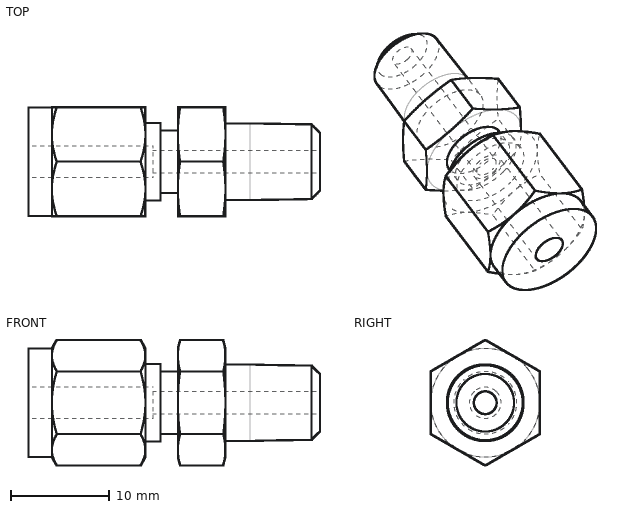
import cadquery as cq
import math


across_flats = 11.11
across_corners = across_flats / math.cos(math.pi / 6)
nut_chamfer_angle = 30
body_chamfer_angle = 15

overall_length = 29.71
collar_end = 2.38
nut_end = 11.92
shoulder_end = 13.47
neck_end = 15.22
body_end = 20.07
shank_end = 22.57

collar_diameter = 11.1
hex_face_diameter = collar_diameter
shoulder_diameter = 7.92
neck_diameter = 6.4
shank_diameter = 7.84
taper_end_diameter = 7.64
tip_chamfer = 0.88

bore_diameter = 2.3
tube_socket_diameter = 3.2
tube_socket_depth = 12.7


def cylinder_x(start, end, diameter):
    """Solid cylinder on the X axis between two stations."""
    return cq.Workplane("YZ", origin=(start, 0, 0)).circle(diameter / 2).extrude(end - start)


def revolve_x(profile):
    """Solid of revolution about X from (x, radius) points."""
    x_axis_end = (1, 0)
    return cq.Workplane("XY").polyline(profile).close().revolve(360, (0, 0), x_axis_end)


def chamfered_hex(start, end, chamfer_angle):
    """Hexagonal prism with conically chamfered corners at both ends."""
    prism = (
        cq.Workplane("YZ", origin=(start, 0, 0))
        .polygon(6, across_corners)
        .extrude(end - start)
        .rotate((0, 0, 0), (1, 0, 0), 90)
    )
    face_radius = hex_face_diameter / 2
    corner_radius = across_corners / 2
    chamfer_length = (corner_radius - face_radius) * math.tan(math.radians(chamfer_angle))
    envelope = revolve_x([
        (start, 0),
        (start, face_radius),
        (start + chamfer_length, corner_radius),
        (end - chamfer_length, corner_radius),
        (end, face_radius),
        (end, 0),
    ])
    return prism.intersect(envelope)


def threaded_end():
    """Straight shank running into a slight taper with a 45 degree tip chamfer."""
    taper_end = overall_length - tip_chamfer
    taper_end_radius = taper_end_diameter / 2
    return revolve_x([
        (body_end, 0),
        (body_end, shank_diameter / 2),
        (shank_end, shank_diameter / 2),
        (taper_end, taper_end_radius),
        (overall_length, taper_end_radius - tip_chamfer),
        (overall_length, 0),
    ])


fitting = cylinder_x(0, collar_end, collar_diameter)
fitting = fitting.union(chamfered_hex(collar_end, nut_end, nut_chamfer_angle))

fitting = fitting.union(cylinder_x(nut_end, shoulder_end, shoulder_diameter))
fitting = fitting.union(cylinder_x(shoulder_end, neck_end, neck_diameter))
fitting = fitting.union(chamfered_hex(neck_end, body_end, body_chamfer_angle))
fitting = fitting.union(threaded_end())

fitting = fitting.cut(cylinder_x(0, overall_length, bore_diameter))
fitting = fitting.cut(cylinder_x(0, tube_socket_depth, tube_socket_diameter))

result = fitting